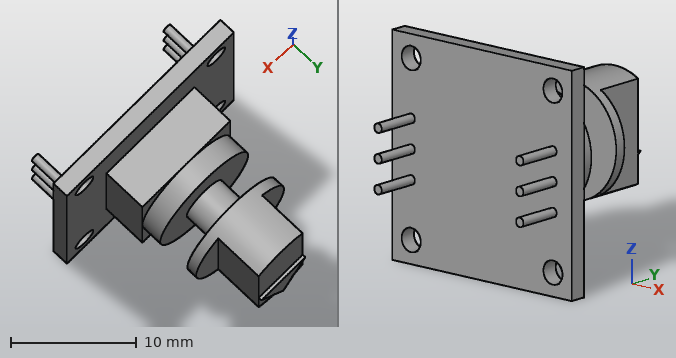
import cadquery as cq

plate_side = 19.0
plate_thickness = 1.5
hole_diameter = 2.0
hole_spacing = 15.0

pin_diameter = 0.8
pin_length = 4.0
pin_pitch = 2.54
pins_per_row = 3
pin_row_spacing = hole_spacing

body_width = 10.0
block_depth = 4.0
collar_depth = 1.99
shaft_diameter = 4.0
shaft_length = 3.0
flange_thickness = 1.0

grip_width = body_width / 2
grip_length = 4.5
pointer_width = grip_width
pointer_height = 3.33
pointer_thickness = 0.3

block_start = plate_thickness
collar_start = block_start + block_depth
shaft_start = collar_start + collar_depth
flange_start = shaft_start + shaft_length
grip_start = flange_start + flange_thickness
pointer_start = grip_start + grip_length


def plane_at(y):
    """XZ workplane at the given Y; positive extrusion runs toward +Y."""
    return cq.Workplane(cq.Plane(origin=(0, y, 0), xDir=(1, 0, 0), normal=(0, 1, 0)))


def disc(y, diameter, length):
    """Round body on the Y axis, growing toward +Y from the given Y."""
    return plane_at(y).circle(diameter / 2).extrude(length)


def make_plate():
    """Square plate with a through hole near each corner."""
    plate = plane_at(0).rect(plate_side, plate_side).extrude(plate_thickness)
    holes = (
        plane_at(0)
        .rect(hole_spacing, hole_spacing, forConstruction=True)
        .vertices()
        .circle(hole_diameter / 2)
        .extrude(plate_thickness)
    )
    return plate.cut(holes)


def make_pins():
    """Pins of both rows, standing on the plate's -Y face."""
    return (
        plane_at(0)
        .rarray(pin_row_spacing, pin_pitch, 2, pins_per_row)
        .circle(pin_diameter / 2)
        .extrude(-pin_length)
    )


def make_grip():
    """Round grip trimmed to two flats facing -X and +X."""
    cylinder = disc(grip_start, body_width, grip_length)
    flats = plane_at(grip_start).rect(grip_width, body_width).extrude(grip_length)
    return cylinder.intersect(flats)


def make_pointer():
    """Thin triangle on the grip's end, its tip on the lower rim."""
    tip = body_width / 2
    base = tip - pointer_height
    half_width = pointer_width / 2
    return (
        plane_at(pointer_start)
        .polyline([(-half_width, base), (half_width, base), (0, tip)])
        .close()
        .extrude(pointer_thickness)
    )


block = plane_at(block_start).rect(body_width, body_width).extrude(block_depth)
collar = disc(collar_start, body_width, collar_depth)
shaft = disc(shaft_start, shaft_diameter, shaft_length)
flange = disc(flange_start, body_width, flange_thickness)

result = make_plate()
for body in (make_pins(), block, collar, shaft, flange, make_grip(), make_pointer()):
    result = result.union(body)